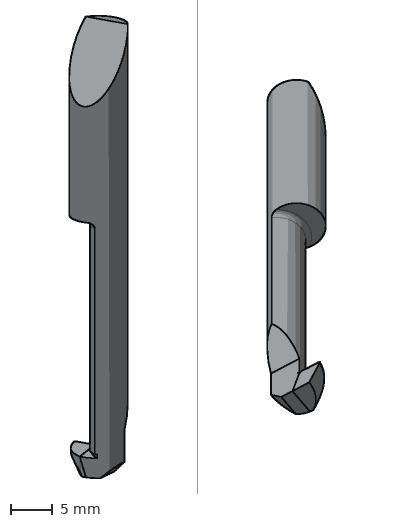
import cadquery as cq
import math

length = 55.5
radius = 3.5
oversize = 2 * radius

bevel_angle = 30.0
bevel_top_y = 1.9

neck_axis_x = 2.9
neck_top = 31.75
neck_bottom = 2.95
neck_fillet = 0.65
undercut_depth = 0.2

rake_y = 0.3
rake_height = 5.55
ramp_angle = 30.0

head_slope = 7.0
corner_chamfer = 1.5
clearance_end_x = -0.53
clearance_radius = 4.15
flank_radius = 4.7
nose_height = 2.65
flank_run = 1.5

joint_top_x = -0.55
joint_bottom_x = 0.4

tip_x = -math.sqrt(radius**2 - rake_y**2)
nose_x = -radius
clearance_end_y = -math.sqrt(radius**2 - clearance_end_x**2)


def through_x(points):
    """Prism with a YZ outline that spans the bar in X."""
    return cq.Workplane("YZ").polyline(points).close().extrude(oversize, both=True)


def through_y(points):
    """Prism with an XZ outline that spans the bar in Y."""
    return cq.Workplane("XZ").polyline(points).close().extrude(oversize, both=True)


def make_bevel():
    """Waste in front of the slanted flat at the clamping end."""
    drop = (bevel_top_y + oversize) / math.tan(math.radians(bevel_angle))
    return through_x([(bevel_top_y, length), (-oversize, length), (-oversize, length - drop)])


def make_neck():
    """Neck cylinder with a fillet up to the shoulder and an undercut at the head."""
    undercut_radius = radius - undercut_depth
    profile = (
        cq.Workplane("XZ")
        .lineTo(undercut_radius, 0)
        .lineTo(undercut_radius, neck_bottom)
        .lineTo(radius, neck_bottom)
        .lineTo(radius, neck_top - neck_fillet)
        .radiusArc((radius + neck_fillet, neck_top), neck_fillet)
        .lineTo(0, neck_top)
        .close()
    )
    return profile.revolve(360, (0, 0, 0), (0, 1, 0)).translate((neck_axis_x, 0, 0))


def make_relief():
    """Waste around the neck, from the sloping head top to the shoulder."""
    slope = math.tan(math.radians(head_slope))
    front_z = neck_bottom - (oversize + rake_y) * slope
    back_z = neck_bottom + (oversize - rake_y) * slope
    outline = [(-oversize, front_z), (oversize, back_z), (oversize, neck_top), (-oversize, neck_top)]
    return through_x(outline).cut(make_neck())


def make_rake_waste():
    """Waste behind the rake face, running out along a ramp."""
    ramp_rise = (oversize - rake_y) / math.tan(math.radians(ramp_angle))
    return through_x([
        (rake_y, 0), (rake_y, rake_height),
        (oversize, rake_height + ramp_rise), (oversize, 0),
    ])


def make_corner_chamfer():
    """Waste at the bottom corner opposite the cutting nose."""
    return through_y([(radius, 0), (radius - corner_chamfer, 0), (radius, corner_chamfer)])


def make_blank():
    """Complete tool form before the tip is ground and separated."""
    blank = cq.Workplane("XY").circle(radius).extrude(length)
    for waste in (make_bevel(), make_relief(), make_rake_waste(), make_corner_chamfer()):
        blank = blank.cut(waste)
    return blank


def make_tip_zone():
    """Space on the nose side of the joint, reaching up to the neck root."""
    joint_lean = (joint_bottom_x - joint_top_x) / nose_height
    upper_x = joint_bottom_x - joint_lean * neck_bottom
    return through_y([
        (-oversize, 0), (joint_bottom_x, 0), (upper_x, neck_bottom), (-oversize, neck_bottom),
    ])


def make_clearance_form():
    """Tip cross-section with the ground side clearance, kept up to the neck root."""
    return (
        cq.Workplane("XY")
        .moveTo(tip_x, rake_y)
        .radiusArc((clearance_end_x, clearance_end_y), -clearance_radius)
        .lineTo(clearance_end_x, -oversize)
        .lineTo(oversize, -oversize)
        .lineTo(oversize, rake_y)
        .close()
        .extrude(neck_bottom)
    )


def flank_outline(z, shift):
    """Wire of the space behind the curved flank at one height."""
    depth = radius + rake_y
    set_back = flank_radius - math.sqrt(flank_radius**2 - depth**2)
    start_x = nose_x + shift
    return (
        cq.Workplane("XY", origin=(0, 0, z))
        .moveTo(start_x, rake_y)
        .radiusArc((start_x + set_back, -radius), -flank_radius)
        .lineTo(oversize, -radius)
        .lineTo(oversize, rake_y)
        .close()
        .val()
    )


def make_flank_form():
    """Space behind the leaning flank, upright above the nose."""
    lower_wire = flank_outline(0, flank_run)
    nose_wire = flank_outline(nose_height, 0)
    top_wire = flank_outline(neck_bottom, 0)
    lower = cq.Workplane(obj=cq.Solid.makeLoft([lower_wire, nose_wire], True))
    upper = cq.Workplane(obj=cq.Solid.makeLoft([nose_wire, top_wire], True))
    return lower.union(upper)


blank = make_blank()
tip_zone = make_tip_zone()
bar = blank.cut(tip_zone)
tip = blank.intersect(tip_zone).intersect(make_clearance_form()).intersect(make_flank_form())

result = cq.Compound.makeCompound([bar.solids().val(), tip.solids().val()])